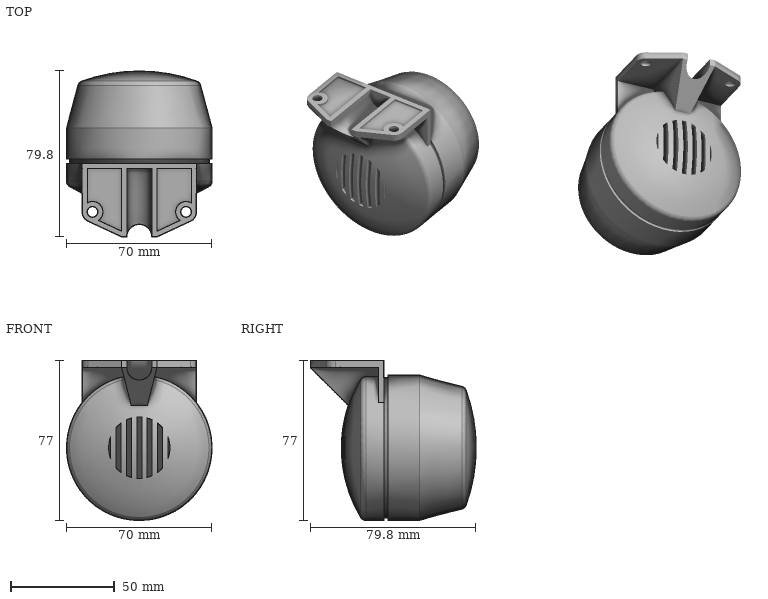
import cadquery as cq
import math


body_radius = 35.0
groove_radius = 33.75
groove_width = 2.0
cone_start_y = 17.0
cone_angle = 15.0
rear_apex_y = 44.4
rear_dome_radius = 81.0
front_apex_y = -20.5
front_dome_radius = 65.0
rim_fillet = 3.0
rim_search_margin = 1.0

grille_radius = 14.75
slot_width = 2.4
slot_pitch = 5.0
slots_per_side = 3
grille_floor_y = -12.5

bracket_width = 55.0
bracket_length = 35.4
bracket_top_z = 42.0
plate_thickness = 3.4
wall = 2.5
corner_radius = 5.0
hole_diameter = 5.0
nose_slope = 25.0
pocket_depth = 1.0

channel_radius = 6.0
web_draft = 14.2
web_slope = 45.0
web_foot_z = 15.0

half_width = bracket_width / 2
plate_bottom_z = bracket_top_z - plate_thickness
nose_half_width = channel_radius + wall
corner_y = -bracket_length + (half_width - nose_half_width) * math.tan(math.radians(nose_slope))
hole_x = half_width - corner_radius
hole_y = corner_y + corner_radius / math.tan(math.radians((90 + nose_slope) / 2))


def dome_drop(dome_radius, radius):
    """Distance from a dome's apex plane to its surface at a given radius."""
    return dome_radius - math.sqrt(dome_radius**2 - radius**2)


def rear_rim():
    """Radius and Y where the cone meets the rear dome (a line crossing a circle)."""
    angle = math.radians(cone_angle)
    centre_y = rear_apex_y - rear_dome_radius
    offset_y = cone_start_y - centre_y
    along = body_radius * math.sin(angle) - offset_y * math.cos(angle)
    excess = body_radius**2 + offset_y**2 - rear_dome_radius**2
    length = along + math.sqrt(along**2 - excess)
    return body_radius - length * math.sin(angle), cone_start_y + length * math.cos(angle)


def make_housing():
    """Turned body with a domed front, a groove, a tapered rear and rounded dome rims."""
    rear_radius, rear_y = rear_rim()
    front_y = front_apex_y + dome_drop(front_dome_radius, body_radius)
    front_mid = body_radius / 2
    rear_mid = rear_radius / 2
    profile = (
        cq.Workplane("XY")
        .moveTo(0, front_apex_y)
        .threePointArc(
            (front_mid, front_apex_y + dome_drop(front_dome_radius, front_mid)),
            (body_radius, front_y),
        )
        .lineTo(body_radius, 0)
        .lineTo(groove_radius, 0)
        .lineTo(groove_radius, groove_width)
        .lineTo(body_radius, groove_width)
        .lineTo(body_radius, cone_start_y)
        .lineTo(rear_radius, rear_y)
        .threePointArc(
            (rear_mid, rear_apex_y - dome_drop(rear_dome_radius, rear_mid)),
            (0, rear_apex_y),
        )
        .close()
    )
    housing = profile.revolve(360, (0, 0, 0), (0, 1, 0))
    for rim_y in (front_y, rear_y):
        near_rim = cq.selectors.BoxSelector(
            (-body_radius, rim_y - rim_search_margin, -body_radius),
            (body_radius, rim_y + rim_search_margin, body_radius),
        )
        housing = housing.edges("%CIRCLE").edges(near_rim).fillet(rim_fillet)
    return housing


def make_grille_slots():
    """Parallel slots bounded by a circle, cut to a flat floor."""
    depth = grille_floor_y - front_apex_y
    disc = cq.Workplane("XZ", origin=(0, grille_floor_y, 0)).circle(grille_radius).extrude(depth)
    centres = [(i * slot_pitch, 0) for i in range(-slots_per_side, slots_per_side + 1)]
    bars = (
        cq.Workplane("XZ", origin=(0, grille_floor_y, 0))
        .pushPoints(centres)
        .rect(slot_width, 2 * grille_radius)
        .extrude(depth)
    )
    return disc.intersect(bars)


def make_plate():
    """Top plate with a blunt tapered nose and two rounded corners."""
    right_half = [
        (0, 0),
        (half_width, 0),
        (half_width, corner_y),
        (nose_half_width, -bracket_length),
        (0, -bracket_length),
    ]
    underside = cq.Workplane("XY", origin=(0, 0, plate_bottom_z))
    half = underside.polyline(right_half).close().extrude(plate_thickness)
    corner = cq.selectors.NearestToPointSelector((half_width, corner_y, plate_bottom_z + plate_thickness / 2))
    half = half.edges("|Z").edges(corner).fillet(corner_radius)
    return half.union(half.mirror("YZ"))


def make_back_wall():
    """Upright wall that ends where its side edges reach the housing."""
    bottom_z = math.sqrt(body_radius**2 - half_width**2)
    height = bracket_top_z - bottom_z
    base = cq.Workplane("XY", origin=(0, -wall, bottom_z))
    return base.box(bracket_width, wall, height, centered=(True, False, False))


def make_web():
    """Tapered web under the plate, cut away below by the sloping front face."""
    drop = bracket_length * math.tan(math.radians(web_slope))
    bottom_z = plate_bottom_z - drop
    taper_height = plate_bottom_z - web_foot_z
    foot_half_width = nose_half_width - taper_height * math.tan(math.radians(web_draft))
    taper = (
        cq.Workplane("XZ")
        .polyline(
            [
                (-nose_half_width, plate_bottom_z),
                (nose_half_width, plate_bottom_z),
                (foot_half_width, web_foot_z),
                (-foot_half_width, web_foot_z),
            ]
        )
        .close()
        .extrude(bracket_length)
    )
    side = (
        cq.Workplane("YZ")
        .polyline([(0, plate_bottom_z), (-bracket_length, plate_bottom_z), (0, bottom_z)])
        .close()
        .extrude(nose_half_width, both=True)
    )
    return taper.intersect(side)


def make_channel():
    """U-shaped trough, open at the top and front, stopping at the back wall."""
    return (
        cq.Workplane("XZ", origin=(0, -wall, 0))
        .moveTo(-channel_radius, bracket_top_z)
        .lineTo(-channel_radius, plate_bottom_z)
        .threePointArc((0, plate_bottom_z - channel_radius), (channel_radius, plate_bottom_z))
        .lineTo(channel_radius, bracket_top_z)
        .close()
        .extrude(bracket_length - wall)
    )


def make_pocket():
    """Shallow recess in the right half of the plate, inset from its edges and from the hole boss."""
    outline = [
        (channel_radius, 0),
        (half_width, 0),
        (half_width, corner_y),
        (nose_half_width, -bracket_length),
        (channel_radius, -bracket_length),
    ]
    floor = cq.Workplane("XY", origin=(0, 0, bracket_top_z - pocket_depth))
    recess = floor.polyline(outline).close().offset2D(-wall).extrude(pocket_depth)
    boss = floor.center(hole_x, hole_y).circle(corner_radius).extrude(pocket_depth)
    return recess.cut(boss)


def make_bracket_holes():
    """Two mounting holes through the plate."""
    return (
        cq.Workplane("XY", origin=(0, 0, plate_bottom_z))
        .pushPoints([(-hole_x, hole_y), (hole_x, hole_y)])
        .circle(hole_diameter / 2)
        .extrude(plate_thickness)
    )


pocket = make_pocket()
result = (
    make_housing()
    .cut(make_grille_slots())
    .union(make_back_wall())
    .union(make_web())
    .union(make_plate())
    .cut(make_channel())
    .cut(pocket)
    .cut(pocket.mirror("YZ"))
    .cut(make_bracket_holes())
)